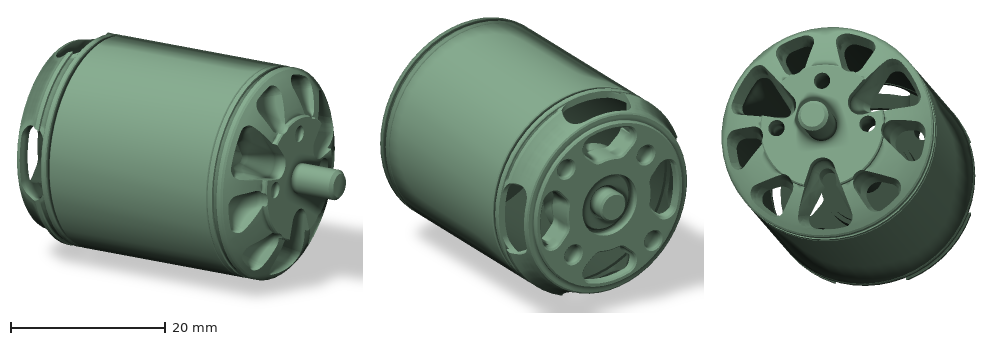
import cadquery as cq
import math


OUTER_R = 13.995
SNAP_GROOVE_R = 13.65
SHAFT_R = 2.0
LENGTH = 43.0
EDGE_BREAK = 0.15

BASE_FACE = 0.95
BASE_END = 6.9
CAN_START = 7.4
BELL_START = 31.4
HUB_BASE = 36.2
BELL_END = 36.9

SHAFT_CHAMFER_LEFT = 0.25
SHAFT_CHAMFER_RIGHT = 0.45

BOSS_R = 11.52
BOSS_END = 1.5
LIP_R = 12.5
EDGE_CHAMFER = 0.2
WAIST_START = 1.65
WAIST_MID = (3.22, 13.0)
WAIST_END = 4.75
BAND_END = 5.3
RIM_START = 6.1
CUP_FLOOR = 4.45
CUP_R = 12.9
SLEEVE_R = 6.35
TUBE_R = 5.8
TUBE_END = 7.75

SEAT_R = 4.25
BEARING_R = 4.05
SEAT_DEPTH = 1.2
BEARING_CHAMFER = 0.3

KIDNEY_COUNT = 4
KIDNEY_INNER_R = 6.6
KIDNEY_INNER_HALF = 1.9
KIDNEY_OUTER_R = 10.65
KIDNEY_CORNER_HALF = 5.3
KIDNEY_OUTER_FILLET = 1.45
KIDNEY_INNER_FILLET = 1.3
SCREW_HOLE_R = 1.25
SCREW_NEAR = 8.0
SCREW_FAR = 9.6
OPENING_CHAMFER = 0.2

WINDOW_WIDTH = 4.0
WINDOW_LENGTH = 10.0
WINDOW_FLOOR = 8.6

CAN_INNER_R = 12.9

SNAP_GROOVE_START = 32.15
SNAP_GROOVE_END = 32.9
DOME_BEVEL_START = 33.45
DOME_START = 33.7
DOME_START_R = 13.8
DOME_MID = (35.2, 11.25)
HUB_R = 8.2
HUB_CHAMFER = 0.17
VENT_STEP = 35.25
PROP_HOLE_COUNT = 4
PROP_HOLE_PITCH_R = 6.0
PROP_HOLE_R = 1.08
VENT_GROUPS = 3
VENT_OUTER_R = 13.45
VENT_INNER_R = 12.45
VENT_CORNER = 1.3


def turned(profile):
    """Solid of revolution about X from a closed (x, radius) sketch."""
    return profile.close().revolve(360, (0, 0, 0), (1, 0, 0))


def cylinder(start, end, radius):
    return cq.Workplane("YZ", origin=(start, 0, 0)).circle(radius).extrude(end - start)


def polar(radius, degrees):
    """(y, z) point at an angle measured from +Z towards +Y."""
    angle = math.radians(degrees)
    return cq.Vector(radius * math.sin(angle), radius * math.cos(angle))


def around_axis(body, count, first=0.0):
    """Copies of a body, evenly spaced about X."""
    return [body.rotate((0, 0, 0), (1, 0, 0), first + i * 360 / count) for i in range(count)]


def make_shaft():
    shaft = cylinder(0, LENGTH, SHAFT_R)
    return shaft.faces("<X").chamfer(SHAFT_CHAMFER_LEFT).faces(">X").chamfer(SHAFT_CHAMFER_RIGHT)


def base_blank():
    """Turned body: boss, lip, concave waist, outer groove, rim, inner cup and bearing tube."""
    bearing_face = BASE_FACE + SEAT_DEPTH
    return turned(
        cq.Workplane("XY")
        .moveTo(BASE_FACE, SEAT_R)
        .lineTo(BASE_FACE, BOSS_R - EDGE_CHAMFER)
        .lineTo(BASE_FACE + EDGE_CHAMFER, BOSS_R)
        .lineTo(BOSS_END, BOSS_R)
        .lineTo(BOSS_END, LIP_R - EDGE_CHAMFER)
        .lineTo(WAIST_START, LIP_R)
        .threePointArc(WAIST_MID, (WAIST_END, OUTER_R))
        .lineTo(BAND_END, OUTER_R)
        .lineTo(BAND_END, SNAP_GROOVE_R)
        .lineTo(RIM_START, SNAP_GROOVE_R)
        .lineTo(RIM_START, OUTER_R - EDGE_BREAK)
        .lineTo(RIM_START + EDGE_BREAK, OUTER_R)
        .lineTo(BASE_END - EDGE_BREAK, OUTER_R)
        .lineTo(BASE_END, OUTER_R - EDGE_BREAK)
        .lineTo(BASE_END, CUP_R)
        .lineTo(CUP_FLOOR, CUP_R)
        .lineTo(CUP_FLOOR, SLEEVE_R)
        .lineTo(BASE_END, SLEEVE_R)
        .lineTo(BASE_END, TUBE_R)
        .lineTo(TUBE_END, TUBE_R)
        .lineTo(TUBE_END, SHAFT_R)
        .lineTo(bearing_face + BEARING_CHAMFER, SHAFT_R)
        .lineTo(bearing_face, SHAFT_R + BEARING_CHAMFER)
        .lineTo(bearing_face, BEARING_R - BEARING_CHAMFER)
        .lineTo(bearing_face + BEARING_CHAMFER, BEARING_R)
        .lineTo(bearing_face + BEARING_CHAMFER, SEAT_R)
    )


def kidney_cutter():
    """Opening on the +Z side: concentric inner and outer sides joined by slanted flanks."""
    inner_height = math.sqrt(KIDNEY_INNER_R**2 - KIDNEY_INNER_HALF**2)
    outer_height = math.sqrt(KIDNEY_OUTER_R**2 - KIDNEY_CORNER_HALF**2)
    kidney = (
        cq.Workplane("YZ", origin=(BASE_FACE, 0, 0))
        .moveTo(-KIDNEY_INNER_HALF, inner_height)
        .threePointArc((0, KIDNEY_INNER_R), (KIDNEY_INNER_HALF, inner_height))
        .lineTo(KIDNEY_CORNER_HALF, outer_height)
        .threePointArc((0, KIDNEY_OUTER_R), (-KIDNEY_CORNER_HALF, outer_height))
        .close()
        .extrude(CUP_FLOOR - BASE_FACE)
    )
    kidney = kidney.edges("|X").edges("<Z").fillet(KIDNEY_INNER_FILLET)
    return kidney.edges("|X").edges("<Y or >Y").fillet(KIDNEY_OUTER_FILLET)


def screw_hole_cutters():
    """Two diagonal pairs of holes on two pitch circles."""
    holes = []
    for pitch_radius, first_angle in ((SCREW_FAR, 45), (SCREW_NEAR, 135)):
        for angle in (first_angle, first_angle + 180):
            center = polar(pitch_radius, angle)
            holes.append(cylinder(BASE_FACE, CUP_FLOOR, SCREW_HOLE_R).translate((0, center.x, center.y)))
    return holes


def window_cutter():
    """Slot-shaped window on the +Z side, touching the rim and ending in a flat floor."""
    return (
        cq.Workplane("XY", origin=(RIM_START - WINDOW_WIDTH / 2, 0, WINDOW_FLOOR))
        .slot2D(WINDOW_LENGTH, WINDOW_WIDTH, 90)
        .extrude(OUTER_R - WINDOW_FLOOR)
    )


def make_base():
    base = base_blank()
    for opening in around_axis(kidney_cutter(), KIDNEY_COUNT) + screw_hole_cutters():
        base = base.cut(opening)
    mounting_face = base.faces("<X").val()
    opening_edges = [
        edge
        for wire in mounting_face.innerWires()
        if math.hypot(wire.Center().y, wire.Center().z) > SEAT_R
        for edge in wire.Edges()
    ]
    base = base.newObject(opening_edges).chamfer(OPENING_CHAMFER)
    for window in around_axis(window_cutter(), KIDNEY_COUNT):
        base = base.cut(window)
    return base


def make_can():
    can = cylinder(CAN_START, BELL_START, OUTER_R)
    can = can.faces("<X or >X").chamfer(EDGE_BREAK)
    return can.cut(cylinder(CAN_START, BELL_START, CAN_INNER_R))


def bell_blank():
    """Turned body: grooved rim, dome and flat hub disc, bored for the shaft."""
    return turned(
        cq.Workplane("XY")
        .moveTo(BELL_START, SHAFT_R)
        .lineTo(BELL_START, OUTER_R - EDGE_BREAK)
        .lineTo(BELL_START + EDGE_BREAK, OUTER_R)
        .lineTo(SNAP_GROOVE_START, OUTER_R)
        .lineTo(SNAP_GROOVE_START, SNAP_GROOVE_R)
        .lineTo(SNAP_GROOVE_END, SNAP_GROOVE_R)
        .lineTo(SNAP_GROOVE_END, OUTER_R)
        .lineTo(DOME_BEVEL_START, OUTER_R)
        .lineTo(DOME_START, DOME_START_R)
        .threePointArc(DOME_MID, (HUB_BASE, HUB_R))
        .lineTo(BELL_END - HUB_CHAMFER, HUB_R)
        .lineTo(BELL_END, HUB_R - HUB_CHAMFER)
        .lineTo(BELL_END, SHAFT_R)
    )


def vent_wire(x, apex, axis_angle, half_angle, outer_radius, tip_radius):
    """Rounded wedge at station x: two flanks from the apex out to a concentric arc."""

    def flank_end(angle):
        direction = polar(1, angle)
        along = apex.dot(direction)
        return apex + direction * (math.sqrt(along**2 - apex.dot(apex) + outer_radius**2) - along)

    left = flank_end(axis_angle - half_angle)
    right = flank_end(axis_angle + half_angle)
    middle = (left + right).normalized() * outer_radius
    wire = (
        cq.Workplane("YZ", origin=(x, 0, 0))
        .moveTo(apex.x, apex.y)
        .lineTo(left.x, left.y)
        .threePointArc((middle.x, middle.y), (right.x, right.y))
        .close()
        .val()
    )

    def vertex_at(point):
        target = cq.Vector(x, point.x, point.y)
        return min(wire.Vertices(), key=lambda vertex: (vertex.Center() - target).Length)

    wire = wire.fillet2D(VENT_CORNER, [vertex_at(left), vertex_at(right)])
    return wire.fillet2D(tip_radius, [vertex_at(apex)])


def vent_cutter(outer_wedge, inner_wedge):
    """Straight vent down to the step, then a taper to the smaller opening at the inside face."""
    mouth = vent_wire(VENT_STEP, *outer_wedge)
    throat = vent_wire(BELL_START, *inner_wedge)
    straight = cq.Solid.extrudeLinear(mouth, [], cq.Vector(BELL_END - VENT_STEP, 0, 0))
    taper = cq.Solid.makeLoft([throat, mouth], True)
    return cq.Workplane(straight).union(cq.Workplane(taper))


def wide_vent():
    """Symmetric wedge centred on the +Z direction."""
    return vent_cutter(
        (polar(0.5, 0), 0, 18.5, VENT_OUTER_R, 1.7),
        (polar(5.4, 0), 0, 28.0, VENT_INNER_R, 0.65),
    )


def narrow_vent():
    """Vent beside the +Z direction, on its +Y side."""
    tilt = 7.0
    half_angle = 22.5
    return vent_cutter(
        (polar(5.68, 36.4), tilt, half_angle, VENT_OUTER_R, 1.55),
        (polar(6.25, 31.9), tilt, half_angle, VENT_INNER_R, 1.68),
    )


def make_bell():
    bell = bell_blank()
    narrow = narrow_vent()
    group_angle = 360 / VENT_GROUPS
    vents = around_axis(wide_vent(), VENT_GROUPS, group_angle / 2)
    vents += around_axis(narrow, VENT_GROUPS)
    vents += around_axis(narrow.mirror("XZ"), VENT_GROUPS)
    prop_hole = cylinder(BELL_START, BELL_END, PROP_HOLE_R).translate((0, 0, PROP_HOLE_PITCH_R))
    for opening in vents + around_axis(prop_hole, PROP_HOLE_COUNT):
        bell = bell.cut(opening)
    return bell


shaft = make_shaft()
base = make_base()
can = make_can()
bell = make_bell()

result = cq.Compound.makeCompound([shaft.val(), base.val(), can.val(), bell.val()])